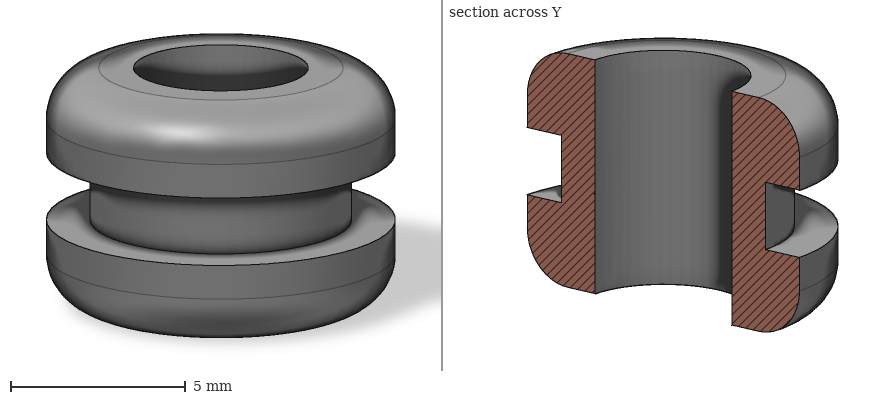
import cadquery as cq

outer_diameter = 10.0
height = 7.0
bore_diameter = 5.0
neck_diameter = 7.5
groove_width = 2.0
edge_radius = 1.5

flange_thickness = (height - groove_width) / 2


def rounded_body():
    """Solid cylinder standing on Z = 0 with both rims rounded."""
    body = cq.Workplane("XY").circle(outer_diameter / 2).extrude(height)
    return body.faces("<Z or >Z").edges().fillet(edge_radius)


def groove():
    """Ring removed between the flanges, leaving the neck."""
    return (
        cq.Workplane("XY")
        .workplane(offset=flange_thickness)
        .circle(outer_diameter / 2)
        .circle(neck_diameter / 2)
        .extrude(groove_width)
    )


def bore():
    """Through hole along the axis."""
    return cq.Workplane("XY").circle(bore_diameter / 2).extrude(height)


result = rounded_body().cut(groove()).cut(bore())